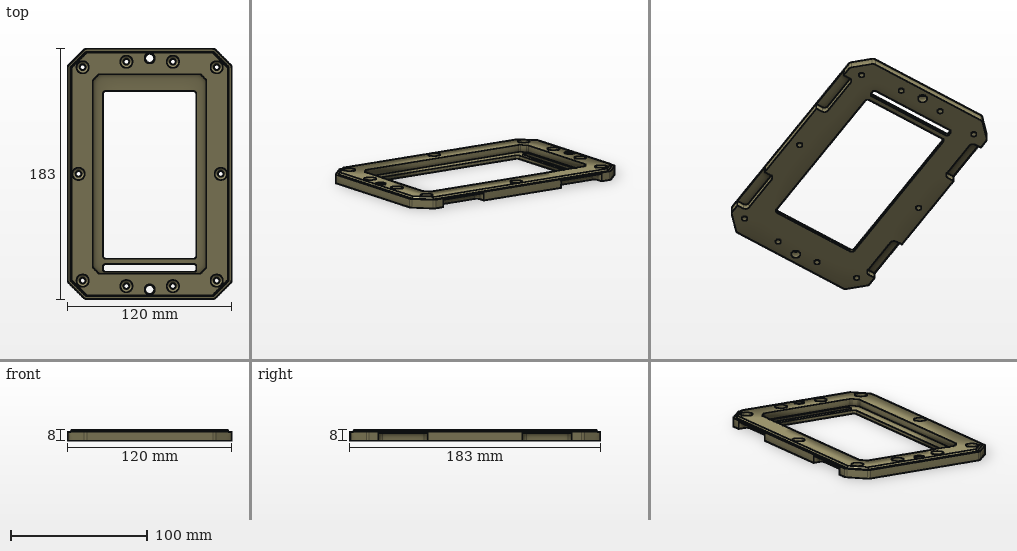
import cadquery as cq
import math

length_x = 120.0
length_y = 183.0
height = 8.0
corner_cut = 12.6
corner_fillet = 3.0

ledge_z = 6.5
ledge_width = 2.1
lip_bevel_width = 0.87

pocket_x = 83.0
pocket_y = 146.0
pocket_floor_z = 2.75
pocket_corner_cut = 4.5
pocket_corner_fillet = 2.0

window_x = 68.0
window_top_y = 60.5
window_bottom_y = -62.0
slot_top_y = -66.0
slot_bottom_y = -71.5
window_corner_radius = 2.0
slot_corner_radius = 1.5

screw_diameter = 4.0
countersink_diameter = 9.0
countersink_depth = 2.5
corner_screw = (49.0, 78.0)
end_screw = (17.0, 82.0)
side_screw_x = 52.0

end_hole_diameter = 6.5
end_hole_y = 84.5
end_hole_bevel = 0.5

notch_inner_y = 34.5
notch_outer_y = 70.75
notch_depth = 8.0
notch_height = 5.5
notch_corner_radius = 3.0


def cut_corner_block(size_x, size_y, corner, z_range):
    """Block centred on the Z axis with its four vertical edges cut at 45 degrees."""
    size_z = z_range[1] - z_range[0]
    block = cq.Workplane("XY").box(size_x, size_y, size_z, centered=(True, True, False))
    return block.edges("|Z").chamfer(corner).translate((0, 0, z_range[0]))


def inset_outline(inset, z):
    """Wire at height z, parallel to the plate outline and inset from it."""
    corner = corner_cut - inset * (2 - math.sqrt(2))
    size_x = length_x - 2 * inset
    size_y = length_y - 2 * inset
    return cut_corner_block(size_x, size_y, corner, (z, height + z)).faces("<Z").wires().val()


def make_plate():
    """Base plate with rounded cut corners, topped by the bevelled lip."""
    base = cut_corner_block(length_x, length_y, corner_cut, (0, ledge_z))
    base = base.edges("|Z").fillet(corner_fillet)
    lip_bottom = inset_outline(ledge_width, ledge_z)
    lip_top = inset_outline(ledge_width + lip_bevel_width, height)
    lip = cq.Solid.makeLoft([lip_bottom, lip_top], True)
    return base.union(cq.Workplane(lip))


def rounded_cutter(x_range, y_range, z_range, radius):
    """Block between the given limits with rounded vertical edges."""
    size_x = x_range[1] - x_range[0]
    size_y = y_range[1] - y_range[0]
    size_z = z_range[1] - z_range[0]
    block = cq.Workplane("XY").box(size_x, size_y, size_z, centered=False)
    return block.edges("|Z").fillet(radius).translate((x_range[0], y_range[0], z_range[0]))


def cut_pocket_and_openings(part):
    """Sink the pocket, then cut the window and the slot through its floor."""
    pocket = cut_corner_block(pocket_x, pocket_y, pocket_corner_cut, (pocket_floor_z, height))
    pocket = pocket.edges("|Z").fillet(pocket_corner_fillet)
    part = part.cut(pocket)
    openings = [
        (window_bottom_y, window_top_y, window_corner_radius),
        (slot_bottom_y, slot_top_y, slot_corner_radius),
    ]
    x_range = (-window_x / 2, window_x / 2)
    for bottom_y, top_y, radius in openings:
        part = part.cut(rounded_cutter(x_range, (bottom_y, top_y), (0, height), radius))
    return part


def flared_hole_cutter(x, y, diameter, mouth_diameter, flare_depth):
    """Through hole whose mouth on the top face widens as a cone."""
    radius = diameter / 2
    mouth_radius = mouth_diameter / 2
    profile = [
        (0, 0),
        (radius, 0),
        (radius, height - flare_depth),
        (mouth_radius, height),
        (0, height),
    ]
    cutter = cq.Workplane("XZ").polyline(profile).close().revolve(360, (0, 0), (0, 1))
    return cutter.translate((x, y, 0))


def cut_holes(part):
    """Drill the countersunk screw holes and the two bevelled end holes."""
    screws = [(-side_screw_x, 0), (side_screw_x, 0)]
    for x, y in [corner_screw, end_screw]:
        screws += [(x, y), (-x, y), (x, -y), (-x, -y)]
    for x, y in screws:
        cutter = flared_hole_cutter(x, y, screw_diameter, countersink_diameter, countersink_depth)
        part = part.cut(cutter)
    end_mouth_diameter = end_hole_diameter + 2 * end_hole_bevel
    for y in (-end_hole_y, end_hole_y):
        cutter = flared_hole_cutter(0, y, end_hole_diameter, end_mouth_diameter, end_hole_bevel)
        part = part.cut(cutter)
    return part


def cut_side_notches(part):
    """Cut two notches with rounded inner corners into each long side."""
    half_x = length_x / 2
    for x_sign in (-1, 1):
        for y_sign in (-1, 1):
            x_range = sorted((x_sign * (half_x - notch_depth), x_sign * (half_x + notch_depth)))
            y_range = sorted((y_sign * notch_inner_y, y_sign * notch_outer_y))
            part = part.cut(rounded_cutter(x_range, y_range, (0, notch_height), notch_corner_radius))
    return part


result = cut_side_notches(cut_holes(cut_pocket_and_openings(make_plate())))